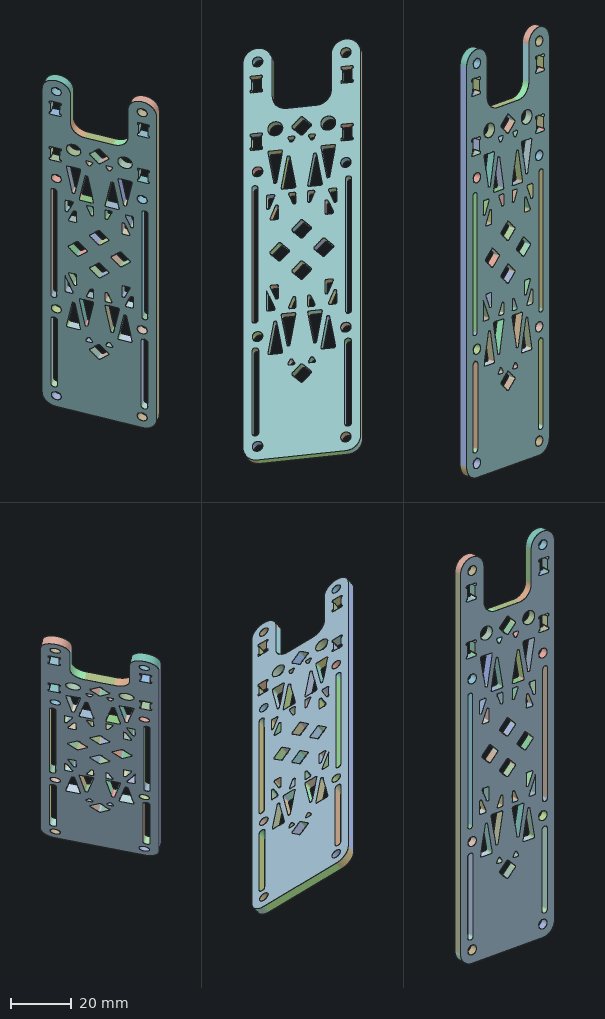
import cadquery as cq
import math

width = 40.0
length = 150.0
thickness = 3.0
corner_radius = 5.0

arm_width = 10.0
notch_floor_z = 52.0
notch_corner_radius = 5.0

screw_hole_diameter = 3.5
screw_hole_x = width / 2 - corner_radius
screw_hole_heights = (-70.0, -30.0, 30.0, 70.0)
cable_hole_diameter = 5.0
cable_hole_x = 9.0
cable_hole_z = 45.0

slot_outer_x = 16.9
upper_slot_width = 2.0
upper_slot_z = (-25.0, 25.0)
lower_slot_width = 2.3
lower_slot_z = (-66.1, -34.1)

strap_slot_x = 15.4
strap_slot_heights = (41.0, 62.0)
strap_slot_width = 3.2
strap_slot_height = 6.0
strap_relief_radius = 0.5

pattern_radius = 0.5

diamond_side = 5.0
end_diamond_z = 45.0
centre_diamond_offset = 7.5

small_triangle_side = 3.0
small_triangle_x = 3.5
small_triangle_base_z = 41.6

tall_base = 5.1
tall_height = 14.2
outer_tall_x = 9.0
outer_tall_base_z = 37.0
inner_tall_x = 4.5
inner_tall_base_z = 22.7

right_base = 3.0
right_height = 7.2
short_right_base = 2.6
short_right_height = 6.25
outer_right_x = 11.9
middle_right_x = 7.95
inner_right_x = 2.05
right_upper_z = 21.1
right_lower_z = 11.9


def sketch_plane():
    """XZ workplane on the rear face, from which everything is extruded forwards."""
    return cq.Workplane("XZ", origin=(0, thickness / 2, 0))


def plate():
    half_width = width / 2
    half_notch = half_width - arm_width
    tip_radius = arm_width / 2
    top = length / 2
    tip_start_z = top - tip_radius
    arm_x = half_width - tip_radius
    body = (
        sketch_plane()
        .moveTo(-half_width, -top)
        .lineTo(half_width, -top)
        .lineTo(half_width, tip_start_z)
        .threePointArc((arm_x, top), (half_notch, tip_start_z))
        .lineTo(half_notch, notch_floor_z)
        .lineTo(-half_notch, notch_floor_z)
        .lineTo(-half_notch, tip_start_z)
        .threePointArc((-arm_x, top), (-half_width, tip_start_z))
        .close()
        .extrude(thickness)
    )
    body = body.edges("|Y and <Z").fillet(corner_radius)
    notch_corners = cq.selectors.BoxSelector(
        (-arm_x, -thickness, notch_floor_z - notch_corner_radius),
        (arm_x, thickness, notch_floor_z + notch_corner_radius),
    )
    return body.edges("|Y").edges(notch_corners).fillet(notch_corner_radius)


def polygon_cutter(points, rounded_edges="|Y"):
    body = sketch_plane().polyline(points).close().extrude(thickness)
    return body.edges("|Y").edges(rounded_edges).fillet(pattern_radius)


def round_cutter(diameter, x, z):
    return sketch_plane().center(x, z).circle(diameter / 2).extrude(thickness)


def slot_cutter(side, slot_width, z_range):
    bottom, top = z_range
    x = side * (slot_outer_x - slot_width / 2)
    centre_z = (bottom + top) / 2
    return sketch_plane().center(x, centre_z).slot2D(top - bottom, slot_width, 90).extrude(thickness)


def strap_slot_cutter(x, z):
    """Rectangle relieved sideways at its corners by circles flush with its ends."""
    relief_z = strap_slot_height / 2 - strap_relief_radius
    corners = [(sx * strap_slot_width / 2, sz * relief_z) for sx in (-1, 1) for sz in (-1, 1)]
    opening = sketch_plane().center(x, z).rect(strap_slot_width, strap_slot_height).extrude(thickness)
    reliefs = sketch_plane().center(x, z).pushPoints(corners).circle(strap_relief_radius).extrude(thickness)
    return opening.union(reliefs)


def diamond_cutter(x, z):
    reach = diamond_side / math.sqrt(2)
    return polygon_cutter([(x - reach, z), (x, z - reach), (x + reach, z), (x, z + reach)])


def isosceles_cutter(x, base_z, base, height):
    """Triangle on a level base; a negative height points it downwards."""
    return polygon_cutter([(x - base / 2, base_z), (x + base / 2, base_z), (x, base_z + height)])


def right_triangle_cutter(x, z, base, height, rounded_edges="|Y"):
    """Triangle with its right angle at (x, z); the signs of the legs give their directions."""
    return polygon_cutter([(x, z), (x + base, z), (x, z + height)], rounded_edges)


def edge_cutters(side):
    """Holes and slots along one long side of the plate."""
    cutters = [round_cutter(screw_hole_diameter, side * screw_hole_x, z) for z in screw_hole_heights]
    cutters += [strap_slot_cutter(side * strap_slot_x, z) for z in strap_slot_heights]
    cutters.append(round_cutter(cable_hole_diameter, side * cable_hole_x, cable_hole_z))
    cutters.append(slot_cutter(side, upper_slot_width, upper_slot_z))
    cutters.append(slot_cutter(side, lower_slot_width, lower_slot_z))
    return cutters


def diamond_cutters():
    offset = centre_diamond_offset
    centres = [(0, end_diamond_z), (0, -end_diamond_z), (0, offset), (0, -offset), (offset, 0), (-offset, 0)]
    return [diamond_cutter(x, z) for x, z in centres]


def triangle_cutters(side, end):
    """Triangles of one quarter of the pattern: side is the sign of X, end the sign of Z."""
    small_height = small_triangle_side * math.sqrt(3) / 2
    upper_z = end * right_upper_z
    outer_rounding = "<Z" if side < 0 and end < 0 else "|Y"
    outer_x = side * outer_right_x
    middle_x = side * middle_right_x
    inner_x = side * inner_right_x
    return [
        isosceles_cutter(
            side * small_triangle_x, end * small_triangle_base_z, small_triangle_side, -end * small_height
        ),
        isosceles_cutter(side * outer_tall_x, end * outer_tall_base_z, tall_base, -end * tall_height),
        isosceles_cutter(side * inner_tall_x, end * inner_tall_base_z, tall_base, end * tall_height),
        right_triangle_cutter(outer_x, upper_z, -side * right_base, -end * right_height, outer_rounding),
        right_triangle_cutter(middle_x, end * right_lower_z, side * right_base, end * right_height),
        right_triangle_cutter(inner_x, upper_z, side * short_right_base, -end * short_right_height),
    ]


cutters = diamond_cutters()
for side in (-1, 1):
    cutters += edge_cutters(side)
    for end in (-1, 1):
        cutters += triangle_cutters(side, end)

result = plate()
for cutter in cutters:
    result = result.cut(cutter)